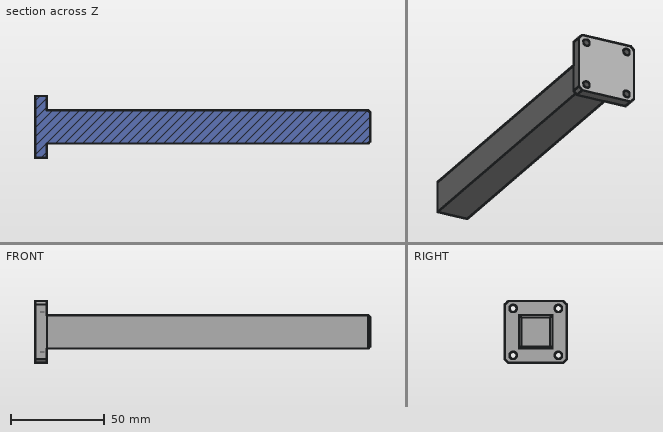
import cadquery as cq

total_length = 180.0

flange_side = 33.3
flange_thickness = 6.3
corner_chamfer = 2.0
hole_diameter = 3.8
hole_spacing_y = 24.3
hole_spacing_z = 25.2

bar_side = 18.0
end_chamfer = 1.3


def make_flange():
    """Square plate with chamfered corners and four through holes."""
    plate = (
        cq.Workplane("YZ")
        .rect(flange_side, flange_side)
        .extrude(flange_thickness)
        .edges("|X")
        .chamfer(corner_chamfer)
    )
    holes = (
        cq.Workplane("YZ")
        .rect(hole_spacing_y, hole_spacing_z, forConstruction=True)
        .vertices()
        .circle(hole_diameter / 2)
        .extrude(flange_thickness)
    )
    return plate.cut(holes)


def make_bar():
    """Square bar starting at the flange's outer face, bevelled at its far end."""
    return (
        cq.Workplane("YZ")
        .rect(bar_side, bar_side)
        .extrude(total_length)
        .faces(">X")
        .chamfer(end_chamfer)
    )


result = make_flange().union(make_bar())